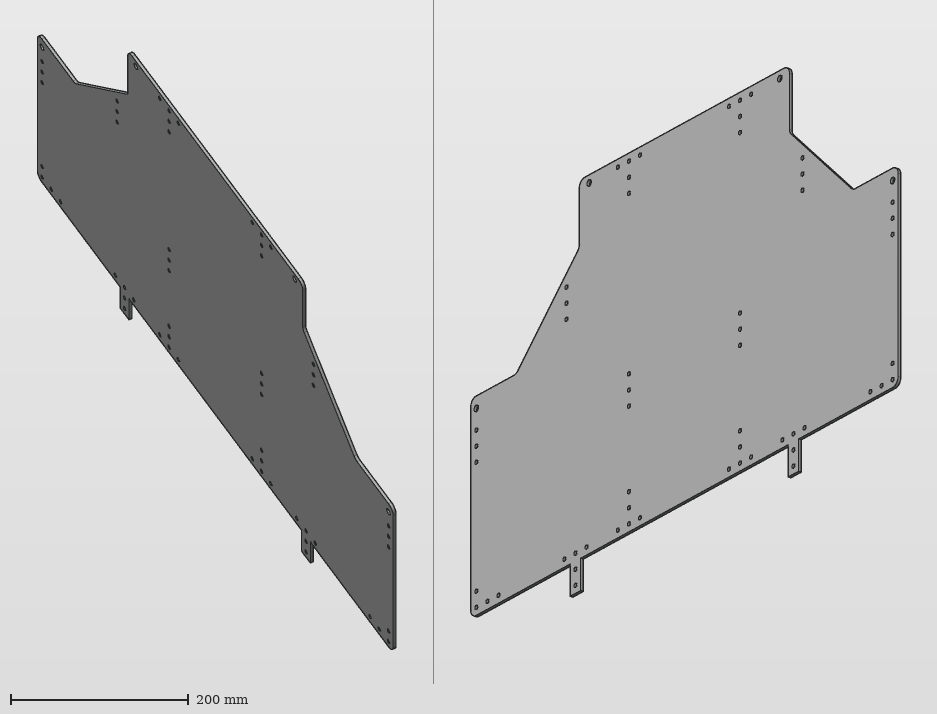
import cadquery as cq

WIDTH = 775.0
HEIGHT = 514.0
THICKNESS = 4.0

TAB_LENGTH = 40.0
TAB_WIDTH = 19.0
TAB_X = 198.0
TOP_HALF_WIDTH = 191.0
SHOULDER_DROP = 199.0
SLOPE_DROP = 84.5
CORNER_RADIUS = 10.0

HOLE_DIAMETER = 5.0
LARGE_HOLE_DIAMETER = 8.0
PITCH = 20.0
EDGE_DISTANCE = 10.0
INNER_COLUMN_X = 101.0
SLOPE_COLUMN_X = 214.0
SLOPE_COLUMN_DROP = 145.0
MIDDLE_COLUMN_RISE = 177.5
SIDE_COLUMN_DROP = 63.0
TOP_LARGE_X = 173.0
SHOULDER_LARGE_DROP = 15.5

half_width = WIDTH / 2
top = HEIGHT / 2
tab_end = -top
bottom = tab_end + TAB_LENGTH
shoulder = top - SHOULDER_DROP
slope_top = top - SLOPE_DROP
slope_end_x = TOP_HALF_WIDTH + (slope_top - shoulder)
side_column_x = half_width - EDGE_DISTANCE
bottom_row = bottom + EDGE_DISTANCE
top_row = top - EDGE_DISTANCE


def upright_plane():
    """XZ plane on the back face, so that extrusion runs toward -Y."""
    return cq.Workplane("XZ", origin=(0, THICKNESS / 2, 0))


def plate():
    right_side = [
        (half_width, bottom),
        (half_width, shoulder),
        (slope_end_x, shoulder),
        (TOP_HALF_WIDTH, slope_top),
        (TOP_HALF_WIDTH, top),
    ]
    left_side = [(-x, z) for x, z in reversed(right_side)]
    body = upright_plane().polyline(right_side + left_side).close().extrude(THICKNESS)
    return body.edges("|Y").fillet(CORNER_RADIUS)


def tabs():
    overlap = EDGE_DISTANCE
    return (
        upright_plane()
        .pushPoints([(side * TAB_X, (tab_end + bottom + overlap) / 2) for side in (-1, 1)])
        .rect(TAB_WIDTH, TAB_LENGTH + overlap)
        .extrude(THICKNESS)
    )


def row(center_x, z):
    """Three holes side by side."""
    return [(center_x + step * PITCH, z) for step in (-1, 0, 1)]


def column(x, center_z):
    """Three holes one above the other."""
    return [(x, center_z + step * PITCH) for step in (-1, 0, 1)]


def drill(body, right_points, diameter):
    """Cut through holes at the given points and at their mirror images."""
    for side in (-1, 1):
        points = [(side * x, z) for x, z in right_points]
        pins = upright_plane().pushPoints(points).circle(diameter / 2).extrude(THICKNESS)
        body = body.cut(pins)
    return body


small_holes = (
    row(INNER_COLUMN_X, top_row)
    + [(INNER_COLUMN_X, top_row - step * PITCH) for step in (1, 2)]
    + column(INNER_COLUMN_X, bottom + MIDDLE_COLUMN_RISE)
    + row(INNER_COLUMN_X, bottom_row)
    + [(INNER_COLUMN_X, bottom_row + step * PITCH) for step in (1, 2)]
    + column(SLOPE_COLUMN_X, top - SLOPE_COLUMN_DROP)
    + row(TAB_X, bottom_row)
    + [(TAB_X, bottom_row - step * PITCH) for step in (1, 2)]
    + row(side_column_x - PITCH, bottom_row)
    + [(side_column_x, bottom_row + PITCH)]
    + column(side_column_x, shoulder - SIDE_COLUMN_DROP)
)
large_holes = [
    (TOP_LARGE_X, top_row),
    (side_column_x, shoulder - SHOULDER_LARGE_DROP),
]

result = plate().union(tabs())
result = drill(result, small_holes, HOLE_DIAMETER)
result = drill(result, large_holes, LARGE_HOLE_DIAMETER)